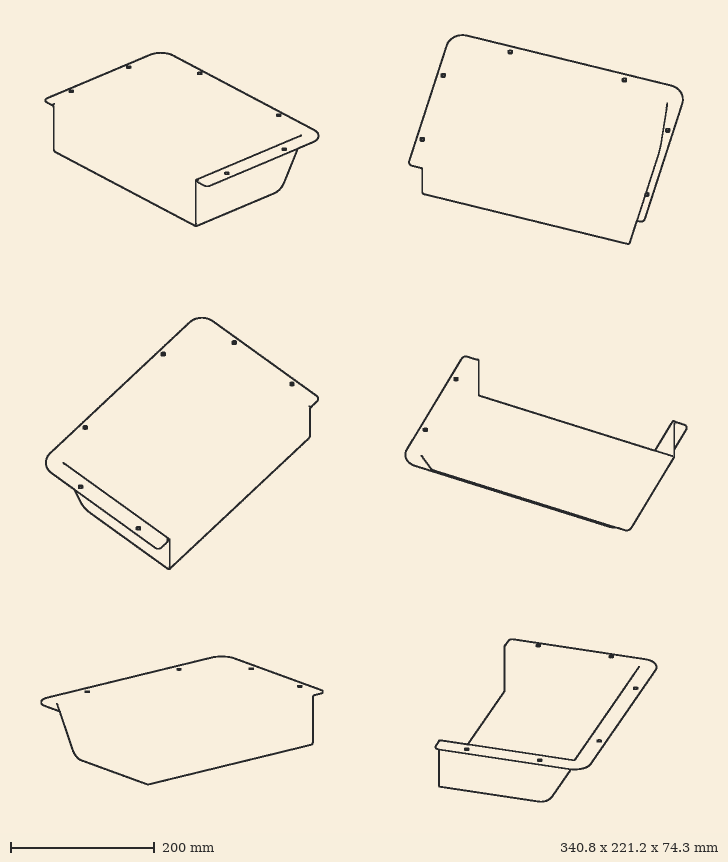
import cadquery as cq
import math

length = 340.8
depth = 221.2
height = 74.3
wall = 3.0

back_corner_radius = 23.2
front_corner_radius = 6.0
flange_edge_radius = 1.7

cavity_width = 293.8
cavity_back = 197.7
slope_angle = 30.0
bend_radius = 20.0
outer_edge_radius = 4.0
opening_edge_radius = 2.0
under_flange_radius = 2.0
front_rim_radius = 0.7
tolerance = 0.05

hole_diameter = 5.5
side_hole_x = 162.2
side_hole_y = (44.5, 151.3)
back_hole_x = 82.5
back_hole_y = 212.7

slope = math.radians(slope_angle)
turn = math.pi / 2 - slope
floor_z = -height + wall
foot_y = cavity_back + floor_z * math.tan(slope)
bend_y = foot_y - bend_radius * math.tan(turn / 2)
bend_z = floor_z + bend_radius


def tray_block(width, offset):
    """Solid with the tray's side profile, grown outward by offset from the cavity."""
    radius = bend_radius + offset

    def bend_point(angle):
        return (bend_y + radius * math.sin(angle), bend_z - radius * math.cos(angle))

    return (
        cq.Workplane("YZ")
        .moveTo(0, 0)
        .lineTo(0, floor_z - offset)
        .lineTo(*bend_point(0))
        .threePointArc(bend_point(turn / 2), bend_point(turn))
        .lineTo(cavity_back + offset / math.cos(slope), 0)
        .close()
        .extrude(width / 2, both=True)
    )


def below_rim_edges(body):
    """Edges joining the side walls to the floor, the bend and the back wall."""
    sides = body.faces("<X or >X").edges()
    return sides.filter(lambda e: e.Center().z < -wall and e.Center().y > wall)


tray = tray_block(cavity_width + 2 * wall, wall)
tray = below_rim_edges(tray).fillet(outer_edge_radius)

cavity = below_rim_edges(tray_block(cavity_width, 0)).fillet(outer_edge_radius - wall)

flange = (
    cq.Workplane("XY")
    .box(length, depth, wall, centered=(True, False, False))
    .translate((0, 0, -wall))
)
flange = flange.edges("|Z and >Y").fillet(back_corner_radius)
flange = flange.edges("|Z and <Y").fillet(front_corner_radius)
flange = flange.faces(">Z").edges().fillet(flange_edge_radius)

body = flange.union(tray)


def is_side_joint(edge):
    """True for the straight edges where the flange underside meets a side wall."""
    center = edge.Center()
    on_underside = abs(center.z + wall) < tolerance
    on_wall = abs(abs(center.x) - cavity_width / 2 - wall) < tolerance
    return on_underside and on_wall and edge.Length() > depth / 2


body = body.edges().filter(is_side_joint).fillet(under_flange_radius)
body = body.cut(cavity)


def is_opening_edge(edge):
    """True for the side and back edges of the opening in the top face."""
    center = edge.Center()
    on_top = abs(center.z) < tolerance
    on_side = abs(abs(center.x) - cavity_width / 2) < tolerance
    on_back = abs(center.y - cavity_back) < tolerance
    return on_top and (on_side or on_back)


body = body.edges().filter(is_opening_edge).fillet(opening_edge_radius)


def is_front_rim(edge):
    """True for the edges around the open front end of the floor and side walls."""
    center = edge.Center()
    return abs(center.y) < tolerance and center.z < -wall - under_flange_radius


body = body.edges().filter(is_front_rim).fillet(front_rim_radius)

hole_points = []
for side in (-1, 1):
    hole_points.append((side * back_hole_x, back_hole_y))
    for y in side_hole_y:
        hole_points.append((side * side_hole_x, y))

holes = (
    cq.Workplane("XY")
    .pushPoints(hole_points)
    .circle(hole_diameter / 2)
    .extrude(-2 * wall)
)

result = body.cut(holes)